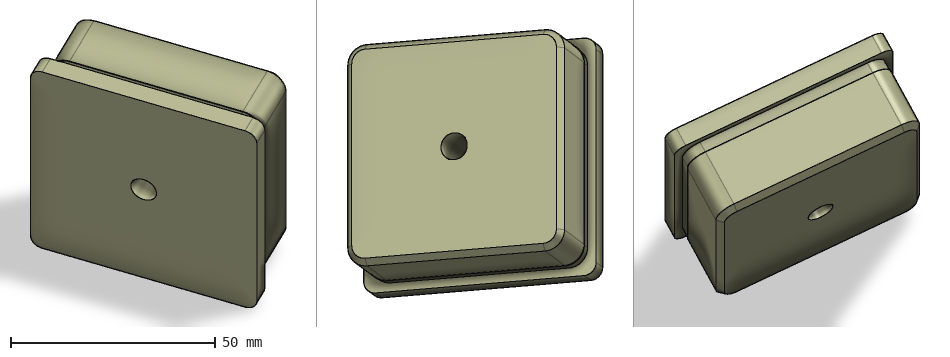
import cadquery as cq

plate_side = 60.0
plate_thickness = 5.1
plate_corner_radius = 3.1

total_depth = 25.0
body_side = 55.9
neck_side = 55.55
neck_length = 2.95
body_corner_radius = 5.0
chamfer_size = 1.55

hole_diameter = 6.8


def rounded_block(side, corner_radius, start, end):
    """Square block centred on the Y axis, from Y = start to Y = end."""
    return (
        cq.Workplane("XZ", origin=(0, start, 0))
        .rect(side, side)
        .extrude(start - end)
        .edges("|Y")
        .fillet(corner_radius)
    )


neck_start = plate_thickness
body_start = neck_start + neck_length
neck_corner_radius = body_corner_radius - (body_side - neck_side) / 2

plate = rounded_block(plate_side, plate_corner_radius, 0, plate_thickness)
neck = rounded_block(neck_side, neck_corner_radius, neck_start, body_start)
body = (
    rounded_block(body_side, body_corner_radius, body_start, total_depth)
    .faces(">Y")
    .chamfer(chamfer_size)
)

hole = cq.Workplane("XZ").circle(hole_diameter / 2).extrude(-total_depth)

result = plate.union(neck).union(body).cut(hole)